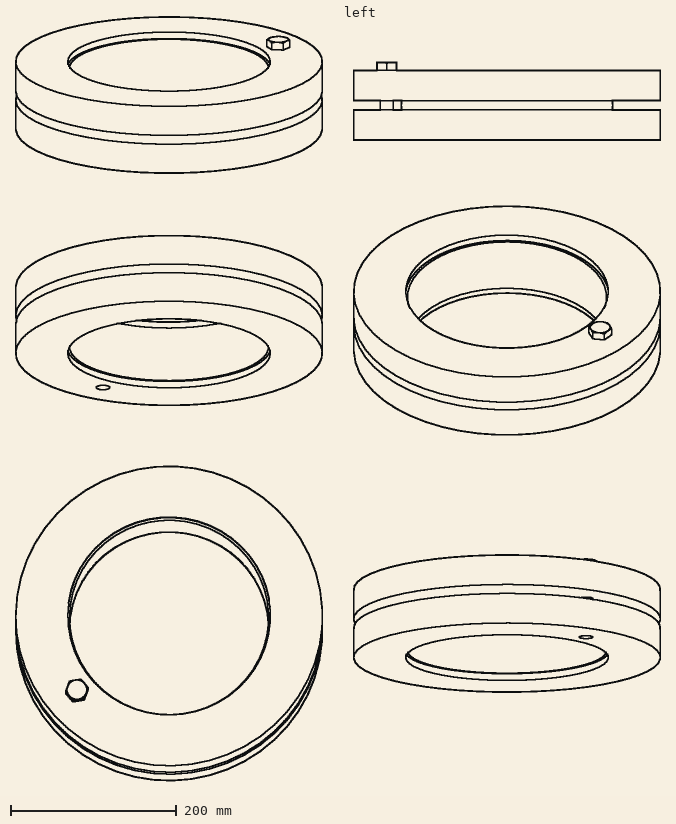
import cadquery as cq
import math

flange_diameter = 370.0
flange_thickness = 36.5
flange_gap = 11.0
bore_diameter = 244.2
half_stack = flange_gap / 2 + flange_thickness

ring_ridge_diameter = 255.5
ring_bore_diameter = 240.0
ring_height = 67.5
taper_slope = (ring_ridge_diameter - bore_diameter) / 2 / half_stack

bolt_diameter = 16.0
bolt_y = 145.0
head_across_flats = 24.0
head_height = 9.5
head_chamfer_angle = 30.0
head_across_corners = head_across_flats / math.cos(math.radians(30))


def taper_radius(z):
    """Radius of the mating double cone at height z."""
    return ring_ridge_diameter / 2 - taper_slope * abs(z)


def make_flange(side):
    """Flange above (side = 1) or below (side = -1) the gap, with a tapered seat and a bolt hole."""
    inner_z = side * flange_gap / 2
    outer_z = side * half_stack
    profile = [
        (taper_radius(inner_z), inner_z),
        (flange_diameter / 2, inner_z),
        (flange_diameter / 2, outer_z),
        (taper_radius(outer_z), outer_z),
    ]
    body = cq.Workplane("XZ").polyline(profile).close().revolve(360, (0, 0), (0, 1))
    return body.cut(make_shank()).solids()


def make_seal_ring():
    """Ring with its ridge in the gap and its cones seated in both flanges."""
    end_z = ring_height / 2
    profile = [
        (ring_bore_diameter / 2, -end_z),
        (taper_radius(end_z), -end_z),
        (taper_radius(0), 0),
        (taper_radius(end_z), end_z),
        (ring_bore_diameter / 2, end_z),
    ]
    return cq.Workplane("XZ").polyline(profile).close().revolve(360, (0, 0), (0, 1))


def make_shank():
    """Bolt shank reaching through both flanges."""
    return (
        cq.Workplane("XY", origin=(0, bolt_y, -half_stack))
        .circle(bolt_diameter / 2)
        .extrude(2 * half_stack)
    )


def make_bolt():
    """Hexagon bolt, its head resting on the upper flange with conically chamfered corners."""
    head = (
        cq.Workplane("XY", origin=(0, bolt_y, half_stack))
        .polygon(6, head_across_corners)
        .extrude(head_height)
    )
    top_radius = head_across_flats / 2
    corner_radius = head_across_corners / 2
    chamfer_drop = (corner_radius - top_radius) * math.tan(math.radians(head_chamfer_angle))
    envelope_profile = [
        (0, 0),
        (corner_radius, 0),
        (corner_radius, head_height - chamfer_drop),
        (top_radius, head_height),
        (0, head_height),
    ]
    chamfer_envelope = (
        cq.Workplane("XZ", origin=(0, bolt_y, half_stack))
        .polyline(envelope_profile)
        .close()
        .revolve(360, (0, 0), (0, 1))
    )
    return head.intersect(chamfer_envelope).union(make_shank()).solids()


flanges = [make_flange(side) for side in (1, -1)]
seal_ring = make_seal_ring()
bolt = make_bolt()

result = cq.Compound.makeCompound(
    [*[flange.val() for flange in flanges], seal_ring.val(), bolt.val()]
)